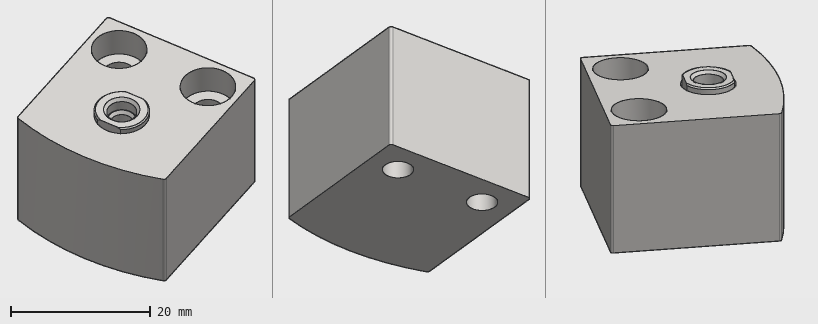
import cadquery as cq

block_width = 25.0
block_depth = 26.92
block_height = 20.0
bulge_radius = 40.0
corner_radius = 0.4
back_y = block_depth / 2
half_width = block_width / 2
bulge_rise = bulge_radius - (bulge_radius**2 - half_width**2) ** 0.5
front_y = -block_depth / 2
front_corner_y = front_y + bulge_rise

mount_spacing = 15.0
mount_from_back = 5.0
mount_diameter = 4.5
counterbore_diameter = 8.0
counterbore_depth = 4.6

pin_diameter = 8.0
pin_from_back = 16.5
pin_y = back_y - pin_from_back
pin_protrusion = 1.0
pin_seat_depth = block_height / 2
pin_bottom_z = block_height - pin_seat_depth
pin_top_z = block_height + pin_protrusion
pin_length = pin_top_z - pin_bottom_z
pin_rim_chamfer = 0.22
pin_across_flats = 7.0

mouth_radius = 5.22 / 2
entry_radius = 4.3 / 2
shoulder_radius = 4.15 / 2
drill_radius = 3.23 / 2
entry_length = 1.6
drill_length = 3.23
drill_tip_height = 0.95


def make_block():
    block = (
        cq.Workplane("XY")
        .moveTo(-half_width, back_y)
        .lineTo(-half_width, front_corner_y)
        .threePointArc((0, front_y), (half_width, front_corner_y))
        .lineTo(half_width, back_y)
        .close()
        .extrude(block_height)
        .edges("|Z")
        .fillet(corner_radius)
    )
    block = (
        block.faces(">Z")
        .workplane(origin=(0, 0, block_height))
        .pushPoints([(side * mount_spacing / 2, back_y - mount_from_back) for side in (-1, 1)])
        .cboreHole(mount_diameter, counterbore_diameter, counterbore_depth)
    )
    pin_seat = (
        cq.Workplane("XY", origin=(0, pin_y, pin_bottom_z))
        .circle(pin_diameter / 2)
        .extrude(pin_seat_depth)
    )
    return block.cut(pin_seat)


def make_bore():
    entry_top_z = pin_top_z - (mouth_radius - entry_radius)
    shoulder_z = entry_top_z - entry_length
    drill_top_z = shoulder_z - (shoulder_radius - drill_radius)
    drill_bottom_z = drill_top_z - drill_length
    return (
        cq.Workplane("XZ", origin=(0, pin_y, 0))
        .moveTo(0, pin_top_z)
        .lineTo(mouth_radius, pin_top_z)
        .lineTo(entry_radius, entry_top_z)
        .lineTo(entry_radius, shoulder_z)
        .lineTo(shoulder_radius, shoulder_z)
        .lineTo(drill_radius, drill_top_z)
        .lineTo(drill_radius, drill_bottom_z)
        .lineTo(0, drill_bottom_z - drill_tip_height)
        .close()
        .revolve(360, (0, 0, 0), (0, 1, 0))
    )


def make_pin():
    pin = (
        cq.Workplane("XY", origin=(0, pin_y, pin_bottom_z))
        .circle(pin_diameter / 2)
        .extrude(pin_length)
        .faces(">Z")
        .chamfer(pin_rim_chamfer)
    )
    flat_cut = (pin_diameter - pin_across_flats) / 2
    flat_centre_offset = (pin_across_flats + flat_cut) / 2
    for side in (-1, 1):
        flat = (
            cq.Workplane("XY", origin=(0, pin_y + side * flat_centre_offset, pin_bottom_z))
            .rect(pin_diameter, flat_cut)
            .extrude(pin_length)
        )
        pin = pin.cut(flat)
    return pin.cut(make_bore())


block = make_block()
pin = make_pin()
result = cq.Compound.makeCompound([block.val(), pin.val()])